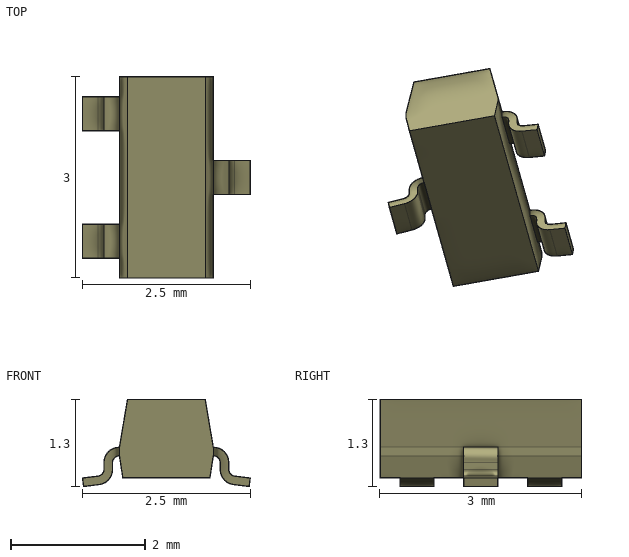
import cadquery as cq
import math


lead_span = 2.5
package_height = 1.3

lead_thickness = 0.13
lead_width = 0.51
lead_pitch = 0.95
inner_bend_radius = 0.1
outer_bend_radius = inner_bend_radius + lead_thickness
riser_length = 0.1
foot_angle = math.radians(7)

body_length = 3.0
body_width = 1.4
body_top_width = 1.16
body_bottom_width = 1.3
body_bottom_z = 0.13

body_side_x = body_width / 2
riser_outer_x = body_side_x + outer_bend_radius
riser_inner_x = riser_outer_x - lead_thickness

lower_bend_x = riser_outer_x + inner_bend_radius
toe_top_x = lead_span / 2
toe_top_z = lead_thickness * math.cos(foot_angle)
foot_top_x = lower_bend_x - inner_bend_radius * math.sin(foot_angle)
foot_top_z = toe_top_z + (toe_top_x - foot_top_x) * math.tan(foot_angle)
lower_bend_z = foot_top_z + inner_bend_radius * math.cos(foot_angle)

upper_bend_x = body_side_x
upper_bend_z = lower_bend_z + riser_length
lead_top_z = upper_bend_z + outer_bend_radius
lead_underside_z = lead_top_z - lead_thickness


def point_on_bend(center_x, center_z, radius, angle):
    """Point of a bend at an angle measured from +X towards +Z."""
    return (center_x + radius * math.cos(angle), center_z + radius * math.sin(angle))


def make_body():
    """Prism along Y, tapered above and below a vertical band as thick as the leads."""
    right_side = [
        (body_bottom_width / 2, body_bottom_z),
        (body_width / 2, lead_underside_z),
        (body_width / 2, lead_top_z),
        (body_top_width / 2, package_height),
    ]
    left_side = [(-x, z) for x, z in reversed(right_side)]
    outline = cq.Workplane("XZ").polyline(right_side + left_side).close()
    return outline.extrude(body_length / 2, both=True)


def make_lead(y_center, turn):
    """Bent strip of constant thickness, turned about Z to face its side of the body."""
    upper_mid_angle = math.radians(45)
    foot_end_angle = 1.5 * math.pi - foot_angle
    lower_mid_angle = (math.pi + foot_end_angle) / 2

    def upper_bend(radius, angle):
        return point_on_bend(upper_bend_x, upper_bend_z, radius, angle)

    def lower_bend(radius, angle):
        return point_on_bend(lower_bend_x, lower_bend_z, radius, angle)

    toe_bottom_x = toe_top_x - lead_thickness * math.sin(foot_angle)
    profile = (
        cq.Workplane("XZ")
        .moveTo(body_side_x, lead_top_z)
        .threePointArc(upper_bend(outer_bend_radius, upper_mid_angle), (riser_outer_x, upper_bend_z))
        .lineTo(riser_outer_x, lower_bend_z)
        .threePointArc(lower_bend(inner_bend_radius, lower_mid_angle), (foot_top_x, foot_top_z))
        .lineTo(toe_top_x, toe_top_z)
        .lineTo(toe_bottom_x, 0)
        .lineTo(*lower_bend(outer_bend_radius, foot_end_angle))
        .threePointArc(lower_bend(outer_bend_radius, lower_mid_angle), (riser_inner_x, lower_bend_z))
        .lineTo(riser_inner_x, upper_bend_z)
        .threePointArc(upper_bend(inner_bend_radius, upper_mid_angle), (body_side_x, lead_underside_z))
        .close()
    )
    lead = profile.extrude(lead_width / 2, both=True)
    return lead.rotate((0, 0, 0), (0, 0, 1), turn).translate((0, y_center, 0))


lead_places = [(0, 0), (-lead_pitch, 180), (lead_pitch, 180)]

body = make_body()
leads = [make_lead(y_center, turn) for y_center, turn in lead_places]

result = cq.Compound.makeCompound([body.val(), *[lead.val() for lead in leads]])